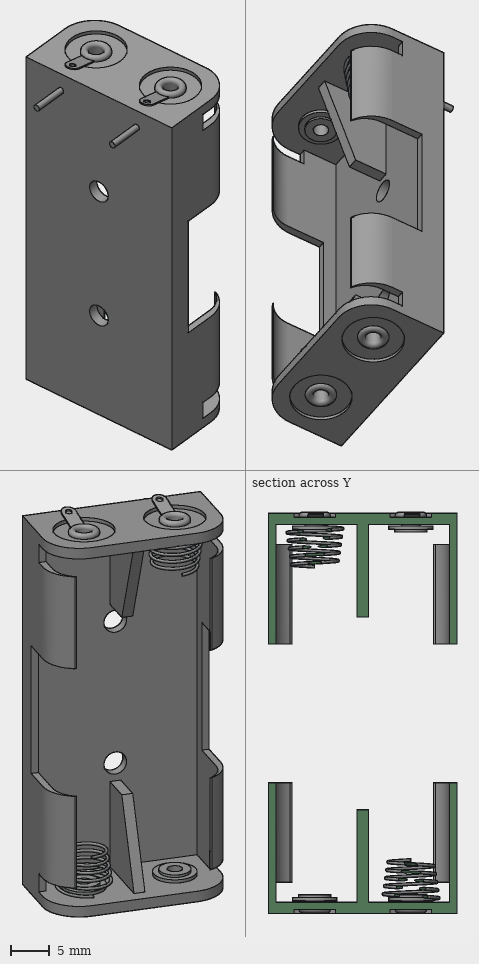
import cadquery as cq
import math

width = 24.5
depth = 13.0
height = 52.0
corner_radius = 5.0
wall = 1.0
floor = 1.5
end_plate = 1.5
wall_top = depth - 0.5
cell_x = 6.25
cell_y = 7.05

cutout_length = 18.0
cutout_bottom = 3.4
window_length = 2.55
window_bottom = 6.4
screw_hole_diameter = 3.1
screw_hole_spacing = 20.0

rib_thickness = 1.5
rib_length = 12.0
rib_end_y = 11.0
rib_slope = 0.4

recess_radius = 4.05
recess_depth = 0.5

pin_diameter = 0.9
pin_x = 6.35
pin_z = 49.35
pin_projection = 5.0

bore_radius = 1.0
barrel_radius = 1.25
head_radius = 2.05
head_height = 0.45
flange_gap = 0.15
flange_radius = 2.9
flange_top = 0.6
button_radius = 2.1
button_top = 0.95

lug_thickness = 0.2
lug_width = 2.0
lug_bend = 2.0
lug_hole_distance = 5.15
lug_hole_diameter = 0.9
lug_turn = 3.3
lug_tip_rise = 0.8

wire_diameter = 0.4
spring_radius = 3.65
spring_tip_radius = 2.9
spring_pitch = 1.05
spring_turns = 5

mid_z = height / 2
inside_top = height - end_plate
recess_floor = height - recess_depth
head_peak_radius = (head_radius + bore_radius) / 2


def flip(body):
    """Mirror a body end for end, about the middle of the housing."""
    return body.mirror("XY", (0, 0, mid_z))


def at_cell(body, side):
    """Move a body built on the Z axis onto a cell axis."""
    return body.translate((side * cell_x, cell_y, 0))


def rounded_block(half_width, bottom, top, radius, start_z, length):
    """Block along Z whose two +Y corners are rounded."""
    block = cq.Workplane("XY", origin=(0, 0, start_z)).center(0, (bottom + top) / 2)
    block = block.rect(2 * half_width, top - bottom).extrude(length)
    return block.edges("|Z and >Y").fillet(radius)


def slab(bottom, start_z, length):
    """Cutter across the full width, from y = bottom past the open side."""
    size = (2 * width, depth, length)
    return cq.Workplane("XY").box(*size, centered=(True, False, False)).translate((0, bottom, start_z))


def make_rib():
    """Rib between the cells at the +Z end, sloping down from the end plate."""
    points = [
        (floor, inside_top),
        (rib_end_y, inside_top),
        (rib_end_y - rib_slope * rib_length, inside_top - rib_length),
        (floor, inside_top - rib_length),
    ]
    profile = cq.Workplane("YZ").polyline(points).close()
    return profile.extrude(rib_thickness / 2, both=True)


def make_housing():
    body = rounded_block(width / 2, 0, depth, corner_radius, 0, height)
    cavity_length = height - 2 * end_plate
    cavity = rounded_block(width / 2 - wall, floor, depth, corner_radius - wall, end_plate, cavity_length)
    body = body.cut(cavity)
    body = body.cut(slab(wall_top, end_plate, cavity_length))
    body = body.cut(slab(cutout_bottom, mid_z - cutout_length / 2, cutout_length))

    window = slab(window_bottom, inside_top - window_length, window_length)
    body = body.cut(window).cut(flip(window))
    rib = make_rib()
    body = body.union(rib).union(flip(rib))

    screw_holes = cq.Workplane("XZ", origin=(0, 0, mid_z)).rarray(1, screw_hole_spacing, 1, 2)
    body = body.cut(screw_holes.circle(screw_hole_diameter / 2).extrude(-depth))

    recess = cq.Workplane("XY", origin=(0, 0, recess_floor)).circle(recess_radius).extrude(recess_depth)
    barrel_hole = cq.Workplane("XY", origin=(0, 0, inside_top)).circle(barrel_radius).extrude(end_plate)
    for side in (-1, 1):
        opening = at_cell(recess.union(barrel_hole), side)
        body = body.cut(opening).cut(flip(opening)).cut(make_pin(side))
    return body


def make_pin(side):
    """Solder pin held in the floor and standing out on the -Y side."""
    start = cq.Workplane("XZ", origin=(side * pin_x, floor, pin_z))
    return start.circle(pin_diameter / 2).extrude(floor + pin_projection)


def make_eyelet(head_base):
    """Hollow rivet through the +Z end plate: rolled head outside, stepped contact inside."""
    profile = (
        cq.Workplane("XZ")
        .moveTo(bore_radius, inside_top - button_top)
        .lineTo(button_radius, inside_top - button_top)
        .lineTo(button_radius, inside_top - flange_top)
        .lineTo(flange_radius, inside_top - flange_top)
        .lineTo(flange_radius, inside_top - flange_gap)
        .lineTo(barrel_radius, inside_top - flange_gap)
        .lineTo(barrel_radius, head_base)
        .lineTo(head_radius, head_base)
        .threePointArc((head_peak_radius, head_base + head_height), (bore_radius, head_base))
        .close()
    )
    return profile.revolve(360, (0, 0, 0), (0, 1, 0))


def make_lug():
    """Washer on the recess floor with a tab bent up over the end plate."""
    washer = cq.Workplane("XY", origin=(0, 0, recess_floor)).circle(head_radius).extrude(lug_thickness)
    tip = lug_hole_distance + lug_width / 2
    bend_z = recess_floor + lug_thickness
    tip_z = height + lug_tip_rise
    angle = math.atan2(tip_z - bend_z, tip - lug_bend)
    drop = lug_thickness / math.cos(angle)
    side_profile = [
        (0, bend_z),
        (-lug_bend, bend_z),
        (-tip, tip_z),
        (-tip, tip_z - drop),
        (-lug_bend, bend_z - lug_thickness),
        (0, bend_z - lug_thickness),
    ]
    tab = cq.Workplane("YZ").polyline(side_profile).close().extrude(lug_width / 2, both=True)
    outline = cq.Workplane("XY", origin=(0, 0, recess_floor - lug_thickness)).center(0, -lug_hole_distance / 2)
    outline = outline.slot2D(lug_hole_distance + lug_width, lug_width, 90).extrude(end_plate * 2)
    hole = cq.Workplane("XY", origin=(0, -lug_hole_distance, recess_floor))
    hole = hole.circle(lug_hole_diameter / 2).extrude(end_plate)
    lug = washer.union(tab.intersect(outline)).cut(hole)
    bore = cq.Workplane("XY", origin=(0, 0, recess_floor)).circle(bore_radius).extrude(lug_thickness)
    return lug.cut(bore).rotate((0, 0, 0), (0, 0, 1), lug_turn)


def make_terminal(side):
    """Eyelet and solder lug, joined, at the +Z end."""
    terminal = make_eyelet(recess_floor + lug_thickness).union(make_lug())
    return at_cell(terminal, side)


def make_end_contact(side):
    """Plain eyelet at the -Z end."""
    return flip(at_cell(make_eyelet(recess_floor), side))


def make_spring(side):
    """Conical coil spring standing on the inside of the +Z end plate."""
    length = spring_pitch * spring_turns
    taper = math.degrees(math.atan2(spring_radius - spring_tip_radius, length))
    tip_z = inside_top - wire_diameter / 2 - length
    centre = cq.Vector(0, 0, tip_z)
    path = cq.Wire.makeHelix(spring_pitch, length, spring_tip_radius, centre, cq.Vector(0, 0, 1), taper)
    section = cq.Workplane("XZ", origin=(spring_tip_radius, 0, tip_z)).circle(wire_diameter / 2)
    spring = section.sweep(cq.Workplane(path), isFrenet=True)
    return at_cell(spring.rotate((0, 0, 0), (0, 0, 1), 90), side)


sides = (-1, 1)
housing = make_housing()
pins = [make_pin(side) for side in sides]
terminals = [make_terminal(side) for side in sides]
end_contacts = [make_end_contact(side) for side in sides]
springs = [make_spring(-1), flip(make_spring(1))]

bodies = [housing, *pins, *terminals, *end_contacts, *springs]
result = cq.Compound.makeCompound([body.solids().val() for body in bodies])